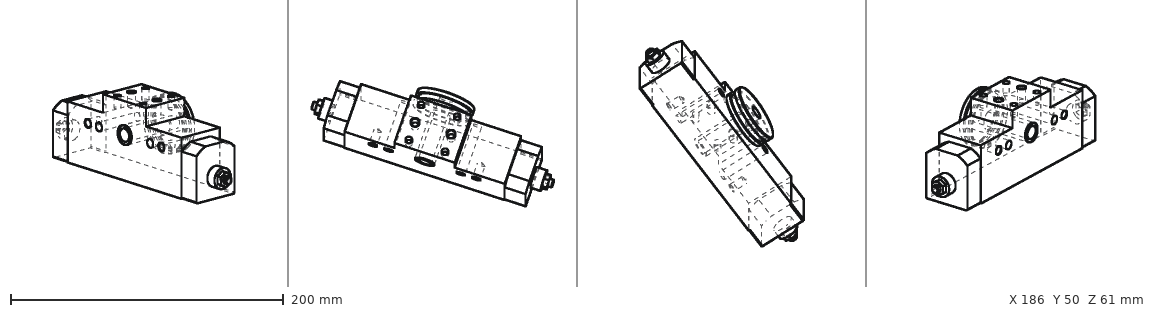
import cadquery as cq
import math

BLOCK_LENGTH = 123.9
BLOCK_DEPTH = 38.1
BLOCK_HEIGHT = 46.9
TOTAL_LENGTH = 186.0
TOTAL_HEIGHT = 61.0
PAD_LENGTH = 46.7

CAP_LENGTH = 16.2
CAP_SIDE_INSET = 0.2
CAP_HEIGHT = 42.0
CAP_FLAT_WIDTH = 20.0
CAP_CROWN_RADIUS = 27.0
CAP_CORNER_CHAMFER = 1.0

SCREW_AXIS_Y = -0.2
SCREW_AXIS_Z = 17.1
COLLAR_DIAMETER = 16.0
COLLAR_LENGTH = 7.8
NUT_WIDTH = 10.0
NUT_LENGTH = 3.9
STUD_DIAMETER = 6.0
STUD_CHAMFER = 0.46

DRILL_TIP_ANGLE = 118.0
HOLE_DIAMETER = 6.7
HOLE_AXIS_Z = 35.0
THROUGH_HOLE_SPACING = 55.8
FRONT_TAPPED_SPACING = 80.0
TAPPED_CORE_DIAMETER = 6.0
TAPPED_DEPTH = 11.2
PAD_HOLE_SPACING_X = 27.9
PAD_HOLE_SPACING_Y = 28.0
PAD_HOLE_DIAMETER = 5.0
PAD_HOLE_DEPTH = 9.3
PAD_HOLE_ROW_Y = 0.5

SHAFT_DIAMETER = 15.0
SHAFT_CHAMFER = 0.4
BORE_DIAMETER = 10.0
FLANGE_DIAMETER = 44.0
FLANGE_LENGTH = 11.9
FLANGE_CHAMFER = 0.5
GROOVE_DIAMETER = 40.0
GROOVE_START = 3.5
GROOVE_WIDTH = 4.5

HALF_DEPTH = BLOCK_DEPTH / 2
CAP_HALF_DEPTH = HALF_DEPTH - CAP_SIDE_INSET
CAP_FACE_X = BLOCK_LENGTH / 2 + CAP_LENGTH
COLLAR_FACE_X = CAP_FACE_X + COLLAR_LENGTH
NUT_FACE_X = COLLAR_FACE_X + NUT_LENGTH


def make_block():
    """Long block with a raised mounting pad in the middle."""
    block = cq.Workplane("XY").box(BLOCK_LENGTH, BLOCK_DEPTH, BLOCK_HEIGHT, centered=(True, True, False))
    pad = cq.Workplane("XY").box(PAD_LENGTH, BLOCK_DEPTH, TOTAL_HEIGHT, centered=(True, True, False))
    return block.union(pad)


def make_end_cap():
    """Cap on the +X end; its upper corners follow an arc about the crown centre."""
    flat = CAP_FLAT_WIDTH / 2
    crown_z = CAP_HEIGHT - math.sqrt(CAP_CROWN_RADIUS**2 - flat**2)
    shoulder_z = crown_z + math.sqrt(CAP_CROWN_RADIUS**2 - CAP_HALF_DEPTH**2)
    foot = CAP_HALF_DEPTH - CAP_CORNER_CHAMFER
    mid_angle = (math.asin(flat / CAP_CROWN_RADIUS) + math.asin(CAP_HALF_DEPTH / CAP_CROWN_RADIUS)) / 2
    mid_y = CAP_CROWN_RADIUS * math.sin(mid_angle)
    mid_z = crown_z + CAP_CROWN_RADIUS * math.cos(mid_angle)
    return (
        cq.Workplane("YZ", origin=(BLOCK_LENGTH / 2, 0, 0))
        .moveTo(-foot, 0)
        .lineTo(foot, 0)
        .lineTo(CAP_HALF_DEPTH, CAP_CORNER_CHAMFER)
        .lineTo(CAP_HALF_DEPTH, shoulder_z)
        .threePointArc((mid_y, mid_z), (flat, CAP_HEIGHT))
        .lineTo(-flat, CAP_HEIGHT)
        .threePointArc((-mid_y, mid_z), (-CAP_HALF_DEPTH, shoulder_z))
        .lineTo(-CAP_HALF_DEPTH, CAP_CORNER_CHAMFER)
        .close()
        .extrude(CAP_LENGTH)
    )


def screw_plane(x):
    """Plane across the adjusting screw axis at the given X."""
    return cq.Workplane("YZ", origin=(x, SCREW_AXIS_Y, SCREW_AXIS_Z))


def make_adjusting_screw():
    """Collar, hexagon nut with corners up and down, and stud end on the +X cap."""
    nut_corner_diameter = NUT_WIDTH / math.cos(math.radians(30))
    collar = screw_plane(CAP_FACE_X).circle(COLLAR_DIAMETER / 2).extrude(COLLAR_LENGTH)
    nut = (
        screw_plane(COLLAR_FACE_X)
        .transformed(rotate=(0, 0, 90))
        .polygon(6, nut_corner_diameter)
        .extrude(NUT_LENGTH)
    )
    stud = screw_plane(NUT_FACE_X).circle(STUD_DIAMETER / 2).extrude(TOTAL_LENGTH / 2 - NUT_FACE_X)
    stud = stud.faces(">X").chamfer(STUD_CHAMFER)
    return collar.union(nut).union(stud)


def drilled_hole(diameter, depth):
    """Cutter along -Z from the origin: straight bore with a conical drill tip."""
    radius = diameter / 2
    tip_length = radius / math.tan(math.radians(DRILL_TIP_ANGLE / 2))
    return (
        cq.Workplane("XZ")
        .polyline([(0, 0), (radius, 0), (radius, -depth), (0, -depth - tip_length)])
        .close()
        .revolve(360, (0, 0, 0), (0, 1, 0))
    )


def countersunk_hole(mouth_diameter, core_diameter, depth):
    """Drilled hole whose mouth widens in a 45 degree countersink."""
    mouth_radius = mouth_diameter / 2
    core_radius = core_diameter / 2
    mouth_depth = mouth_radius - core_radius
    countersink = cq.Solid.makeCone(mouth_radius, core_radius, mouth_depth, dir=cq.Vector(0, 0, -1))
    return drilled_hole(core_diameter, depth).union(cq.Workplane(countersink))


def cross_hole(x, diameter):
    """Cutter through the full depth of the block, along Y."""
    return (
        cq.Workplane("XZ", origin=(x, HALF_DEPTH, HOLE_AXIS_Z))
        .circle(diameter / 2)
        .extrude(BLOCK_DEPTH)
    )


def make_housing():
    """Block, end caps and adjusting screws as one body, with all its holes."""
    end = make_end_cap().union(make_adjusting_screw())
    housing = make_block().union(end).union(end.mirror("YZ"))
    housing = housing.cut(cross_hole(0, SHAFT_DIAMETER))

    tapped_hole = countersunk_hole(HOLE_DIAMETER, TAPPED_CORE_DIAMETER, TAPPED_DEPTH)
    front_tapped_hole = tapped_hole.rotate((0, 0, 0), (1, 0, 0), 90)
    pad_hole = drilled_hole(PAD_HOLE_DIAMETER, PAD_HOLE_DEPTH)
    for side in (-1, 1):
        housing = housing.cut(cross_hole(side * THROUGH_HOLE_SPACING / 2, HOLE_DIAMETER))
        front_x = side * FRONT_TAPPED_SPACING / 2
        housing = housing.cut(front_tapped_hole.translate((front_x, -HALF_DEPTH, HOLE_AXIS_Z)))

        pad_x = side * PAD_HOLE_SPACING_X / 2
        housing = housing.cut(tapped_hole.translate((pad_x, PAD_HOLE_ROW_Y, TOTAL_HEIGHT)))
        for row in (-1, 1):
            pad_y = PAD_HOLE_ROW_Y + row * PAD_HOLE_SPACING_Y / 2
            housing = housing.cut(pad_hole.translate((pad_x, pad_y, TOTAL_HEIGHT)))
    return housing


def spindle_disc(y, length, diameter):
    """Disc about the spindle axis, from y towards +Y."""
    return (
        cq.Workplane("XZ", origin=(0, y, HOLE_AXIS_Z))
        .circle(diameter / 2)
        .extrude(-length)
    )


def make_spindle():
    """Hollow shaft through the housing with a grooved flange on its +Y end."""
    shaft = spindle_disc(-HALF_DEPTH, BLOCK_DEPTH, SHAFT_DIAMETER).faces("<Y").chamfer(SHAFT_CHAMFER)
    flange = spindle_disc(HALF_DEPTH, FLANGE_LENGTH, FLANGE_DIAMETER)
    flange = flange.faces("<Y or >Y").chamfer(FLANGE_CHAMFER)
    groove_y = HALF_DEPTH + GROOVE_START
    groove = spindle_disc(groove_y, GROOVE_WIDTH, FLANGE_DIAMETER)
    groove = groove.cut(spindle_disc(groove_y, GROOVE_WIDTH, GROOVE_DIAMETER))
    bore = spindle_disc(-HALF_DEPTH, BLOCK_DEPTH + FLANGE_LENGTH, BORE_DIAMETER)
    return shaft.union(flange).cut(groove).cut(bore)


housing = make_housing()
spindle = make_spindle()
result = cq.Compound.makeCompound([*housing.solids().vals(), *spindle.solids().vals()])